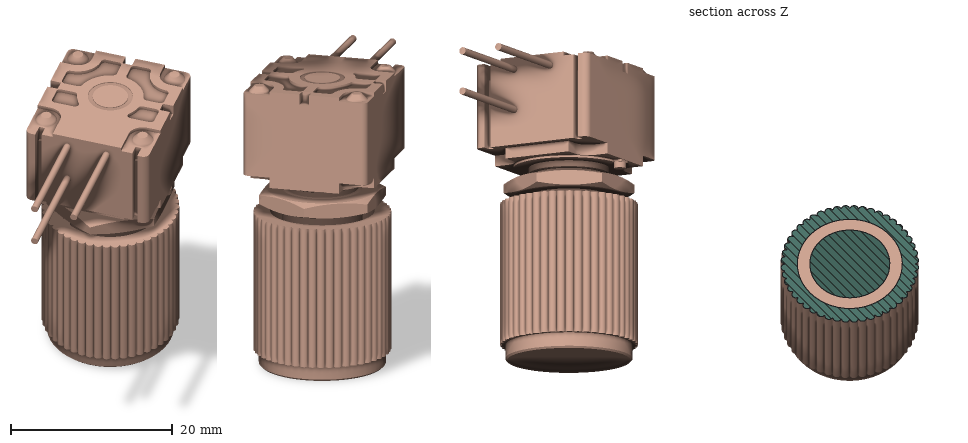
import cadquery as cq
import math


knob_knurl_bottom = 1.93
knob_top = 19.72
nut_bottom = 20.7
nut_top = 22.65
boss_bottom = 24.25
housing_bottom = 24.5
housing_step = 25.85
housing_top = 36.88
overall_top = 37.15

half_width = 8.0
wall_front = 9.25
ear_front = 9.5
rear_corner_radius = 0.75
ear_corner_radius = 0.8
boss_radius = 6.87
lug_radius = 0.75
lug_length = 0.75
lug_tab_end = 7.87

rivet_offset = 6.28
rivet_height = 0.75
rivet_base_radius = 1.35
rivet_top_radius = 0.63
corner_offset = 4.45
corner_floor = overall_top - rivet_height

ear_slot_inner = 5.9
ear_slot_outer = 6.65
ear_slot_depth_y = 8.3
ear_slot_upper_y = 7.9
ear_slot_step_z = 34.5

arm_half_width = 0.63
edge_slot_height = 1.35
pocket_outer = 6.65
pocket_depth = 0.5
pocket_hub_radius = 4.12
pocket_rivet_clearance = 3.05
pocket_corner_radius = 0.5
front_pocket_inner = 3.2
front_pocket_end = 3.3
ring_outer_radius = 2.8
ring_inner_radius = 2.2
ring_depth = 0.1

pin_radius = 0.45
pin_pitch = 5.1
pin_tip = 22.25
pin_upper_z = 35.35

thread_radius = 4.98
groove_radius = 4.5
groove_top = 23.5
groove_bottom = nut_top
thread_chamfer_width = 0.25
thread_chamfer_height = 0.1

nut_across_flats = 14.0
nut_face_radius = 6.85
nut_chamfer_height = 0.45

knurl_count = 48
knurl_peak_radius = 8.55
knurl_valley_radius = 8.05
knob_end_radius = 7.87
knob_end_chamfer = 0.22
knob_recess_radius = 6.45
knob_recess_depth = 4.7
knob_recess_floor = knob_top - knob_recess_depth


def box(x_min, x_max, y_min, y_max, z_min, z_max):
    """Box between the given limits."""
    size = (x_max - x_min, y_max - y_min, z_max - z_min)
    return cq.Workplane("XY").box(*size, centered=False).translate((x_min, y_min, z_min))


def cylinder(radius, z_min, z_max, x=0, y=0):
    """Vertical cylinder."""
    return cq.Workplane("XY", origin=(x, y, z_min)).circle(radius).extrude(z_max - z_min)


def corner_cuts(z_min, z_max):
    """Four corner blocks to remove, each rounded concentrically with its rivet."""
    cut_end = 2 * half_width
    corner = box(corner_offset, cut_end, corner_offset, cut_end, z_min, z_max)
    corner = corner.edges("|Z and <X and <Y").fillet(rivet_offset - corner_offset)
    right_half = corner.union(corner.mirror("XZ"))
    return right_half.union(right_half.mirror("YZ"))


def housing_block():
    """Main block with a front wall, two slotted front ears and four cut corners."""
    block = box(-half_width, half_width, -ear_front, half_width, housing_step, housing_top)
    block = block.edges("|Z and >Y").fillet(rear_corner_radius)
    block = block.edges("|Z and <Y").fillet(ear_corner_radius)
    block = block.cut(
        box(-ear_slot_outer, ear_slot_outer, -ear_front, -wall_front, housing_step, housing_top)
    )
    block = block.union(
        box(-half_width, half_width, -half_width, half_width, housing_bottom, housing_step)
    )
    block = block.cut(corner_cuts(housing_bottom, housing_step))
    block = block.cut(corner_cuts(corner_floor, housing_top))
    for x_min, x_max in ((ear_slot_inner, ear_slot_outer), (-ear_slot_outer, -ear_slot_inner)):
        block = block.cut(
            box(x_min, x_max, -ear_front, -ear_slot_depth_y, housing_step, housing_top)
        )
        block = block.cut(
            box(x_min, x_max, -ear_front, -ear_slot_upper_y, ear_slot_step_z, housing_top)
        )
    return block


def edge_slots():
    """Notches in the middle of the rear, left and right top edges."""
    z_min = housing_top - edge_slot_height
    rear = box(-arm_half_width, arm_half_width, pocket_outer, half_width, z_min, housing_top)
    left = rear.rotate((0, 0, 0), (0, 0, 1), 90)
    right = rear.rotate((0, 0, 0), (0, 0, 1), -90)
    return rear.union(left).union(right)


def top_pockets():
    """Two large rear pockets and two smaller front pockets around the central hub."""
    floor = housing_top - pocket_depth
    hub = cylinder(pocket_hub_radius, floor, housing_top)
    rivet_margin = cylinder(pocket_rivet_clearance, floor, housing_top, rivet_offset, rivet_offset)
    rear = box(arm_half_width, pocket_outer, arm_half_width, pocket_outer, floor, housing_top)
    rear = rear.cut(hub).cut(rivet_margin)
    front = box(front_pocket_inner, pocket_outer, -front_pocket_end, -arm_half_width, floor, housing_top)
    front = front.cut(hub)
    rear = rear.edges("|Z").fillet(pocket_corner_radius)
    front = front.edges("|Z").fillet(pocket_corner_radius)
    right_side = rear.union(front)
    return right_side.union(right_side.mirror("YZ"))


def hub_ring():
    """Shallow ring groove around the hub."""
    floor = housing_top - ring_depth
    outer = cylinder(ring_outer_radius, floor, housing_top)
    return outer.cut(cylinder(ring_inner_radius, floor, housing_top))


def rivets():
    """Conical rivet heads standing in the cut top corners."""
    heads = cq.Workplane("XY")
    for x in (-rivet_offset, rivet_offset):
        for y in (-rivet_offset, rivet_offset):
            head = cq.Solid.makeCone(
                rivet_base_radius, rivet_top_radius, rivet_height, pnt=cq.Vector(x, y, corner_floor)
            )
            heads = heads.add(head)
    return heads


def terminals():
    """Three round terminals standing out of the front wall."""
    half_pitch = pin_pitch / 2
    places = [
        (-half_pitch, pin_upper_z),
        (half_pitch, pin_upper_z),
        (-half_pitch, pin_upper_z - pin_pitch),
    ]
    plane = cq.Workplane("XZ", origin=(0, -wall_front, 0))
    return plane.pushPoints(places).circle(pin_radius).extrude(pin_tip - wall_front)


def underside_boss():
    """Thin round boss with a side tab, and under the tab a lug that stops rotation in a panel."""
    boss = cylinder(boss_radius, boss_bottom, housing_bottom)
    tab = box(0, lug_tab_end, -lug_radius, lug_radius, boss_bottom, housing_bottom)
    lug = cylinder(lug_radius, boss_bottom - lug_length, boss_bottom, half_width - lug_radius)
    return boss.union(tab).union(lug)


def make_housing():
    """Housing block with its top relief, rivet heads, terminals and underside boss."""
    housing = housing_block().cut(edge_slots()).cut(top_pockets()).cut(hub_ring())
    for head in rivets().vals():
        housing = housing.union(cq.Workplane(head))
    for pin in terminals().vals():
        housing = housing.union(cq.Workplane(pin))
    return housing.union(underside_boss())


def make_bushing():
    """Threaded bushing with a chamfered relief groove above the nut."""
    edge_radius = thread_radius - thread_chamfer_width
    profile = [
        (0, knob_recess_floor),
        (thread_radius, knob_recess_floor),
        (thread_radius, groove_bottom),
        (edge_radius, groove_bottom + thread_chamfer_height),
        (groove_radius, groove_bottom + thread_chamfer_height),
        (groove_radius, groove_top - thread_chamfer_height),
        (edge_radius, groove_top - thread_chamfer_height),
        (thread_radius, groove_top),
        (thread_radius, boss_bottom),
        (0, boss_bottom),
    ]
    return cq.Workplane("XZ").polyline(profile).close().revolve(360, (0, 0), (0, 1))


def make_nut():
    """Hex nut with flats facing +X and -X and both faces chamfered."""
    corner_radius = nut_across_flats / math.sqrt(3)
    prism = cq.Workplane("XY", origin=(0, 0, nut_bottom)).polygon(6, 2 * corner_radius)
    prism = prism.extrude(nut_top - nut_bottom).rotate((0, 0, 0), (0, 0, 1), 30)
    profile = [
        (thread_radius, nut_bottom),
        (nut_face_radius, nut_bottom),
        (corner_radius, nut_bottom + nut_chamfer_height),
        (corner_radius, nut_top - nut_chamfer_height),
        (nut_face_radius, nut_top),
        (thread_radius, nut_top),
    ]
    envelope = cq.Workplane("XZ").polyline(profile).close().revolve(360, (0, 0), (0, 1))
    return prism.intersect(envelope)


def make_knob():
    """Knob with rounded knurls, a plain chamfered end and a recess that takes the bushing."""
    pitch = 2 * math.pi / knurl_count

    def ring_point(radius, turns):
        return (radius * math.cos(turns * pitch), radius * math.sin(turns * pitch))

    outline = cq.Workplane("XY", origin=(0, 0, knob_knurl_bottom))
    outline = outline.moveTo(*ring_point(knurl_valley_radius, -0.5))
    for i in range(knurl_count):
        outline = outline.threePointArc(
            ring_point(knurl_peak_radius, i), ring_point(knurl_valley_radius, i + 0.5)
        )
    grip = outline.close().extrude(knob_top - knob_knurl_bottom)
    end = cylinder(knob_end_radius, 0, knob_knurl_bottom).faces("<Z").chamfer(knob_end_chamfer)
    recess = cylinder(knob_recess_radius, knob_recess_floor, knob_top)
    return grip.union(end).cut(recess)


housing = make_housing()
bushing = make_bushing()
nut = make_nut()
knob = make_knob()

result = cq.Compound.makeCompound([housing.val(), bushing.val(), nut.val(), knob.val()])